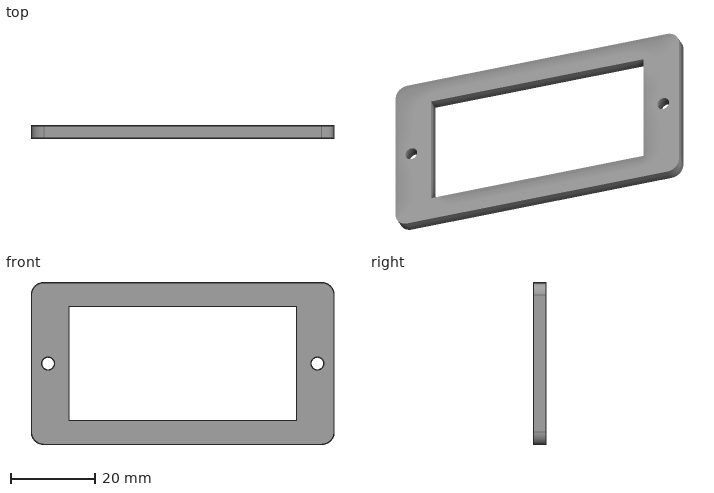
import cadquery as cq

plate_width = 72.0
plate_thickness = 3.0
plate_height = 38.5
corner_radius = 3.0

window_width = 54.0
window_height = 27.0

hole_diameter = 3.0
hole_spacing = 64.0


def make_plate():
    """Plate with its four outer corners rounded."""
    plate = cq.Workplane("XY").box(plate_width, plate_thickness, plate_height)
    return plate.edges("|Y").fillet(corner_radius)


def cut_window(plate):
    """Cut the sharp-cornered window through the plate."""
    window = cq.Workplane("XY").box(window_width, plate_thickness, window_height)
    return plate.cut(window)


def drill_mounting_holes(plate):
    """Drill the two through holes on the horizontal centre line."""
    hole_centres = [(side * hole_spacing / 2, 0) for side in (-1, 1)]
    return plate.faces("<Y").workplane(origin=(0, 0, 0)).pushPoints(hole_centres).hole(hole_diameter)


result = drill_mounting_holes(cut_window(make_plate()))